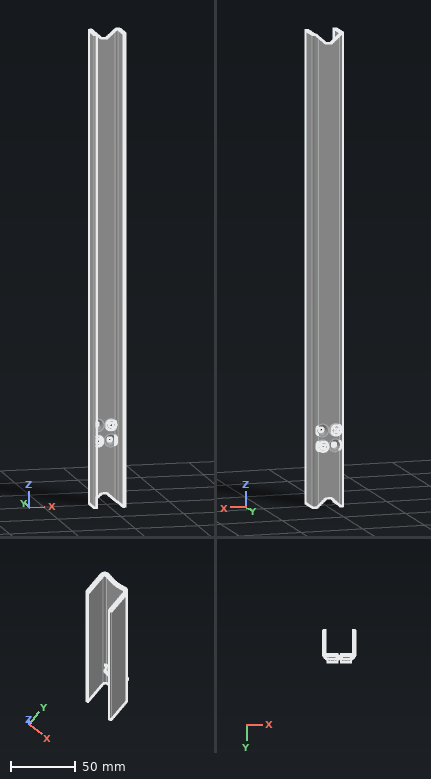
import cadquery as cq

LENGTH = 374.0
WIDTH = 25.0
OVERALL_DEPTH = 25.0
SHEET = 2.0
BEND_INNER_RADIUS = 2.0
LEG_TIP_RADIUS = 1.0

NOTCH_DEPTH = 7.0
NOTCH_MOUTH = 20.2
NOTCH_FLOOR = 4.0

OUTWARD_COLLAR_HEIGHT = 2.8
INWARD_COLLAR_HEIGHT = 1.7
COLLAR_RADIUS = 3.93
COLLAR_ROOT_ROUNDING = 0.95
BORE_RADIUS = 1.7
MOUTH_ROUNDING = 3.5
COLLAR_PITCH_X = 10.5
COLLAR_PITCH_Z = 12.5
COLLAR_GROUP_Z = 55.0

CHANNEL_DEPTH = OVERALL_DEPTH - OUTWARD_COLLAR_HEIGHT
BEND_OUTER_RADIUS = BEND_INNER_RADIUS + SHEET


def make_channel():
    """Bent U-section with rounded outer leg tips; the back of the web lies on Y = 0."""
    outer = (
        cq.Workplane("XY")
        .rect(WIDTH, CHANNEL_DEPTH)
        .extrude(LENGTH)
        .edges("|Z and >Y")
        .fillet(BEND_OUTER_RADIUS)
        .edges("|Z and <Y")
        .fillet(LEG_TIP_RADIUS)
        .translate((0, -CHANNEL_DEPTH / 2, 0))
    )
    inner = (
        cq.Workplane("XY")
        .rect(WIDTH - 2 * SHEET, CHANNEL_DEPTH)
        .extrude(LENGTH)
        .edges("|Z and >Y")
        .fillet(BEND_INNER_RADIUS)
        .translate((0, -CHANNEL_DEPTH / 2 - SHEET, 0))
    )
    return outer.cut(inner)


def make_notch(end_z, inward):
    """Trapezoid through the web; inward is the Z direction into the part."""
    floor_z = end_z + inward * NOTCH_DEPTH
    return (
        cq.Workplane("XZ")
        .moveTo(-NOTCH_MOUTH / 2, end_z)
        .lineTo(-NOTCH_FLOOR / 2, floor_z)
        .lineTo(NOTCH_FLOOR / 2, floor_z)
        .lineTo(NOTCH_MOUTH / 2, end_z)
        .close()
        .extrude(BEND_OUTER_RADIUS)
    )


def add_collar(body, x, z, outward):
    """Draw a collar out of the web, to +Y when outward is True, otherwise to -Y."""
    side = 1 if outward else -1
    height = OUTWARD_COLLAR_HEIGHT if outward else INWARD_COLLAR_HEIGHT
    root_y = 0 if outward else -SHEET
    mouth_y = root_y - side * SHEET
    tip_y = root_y + side * height
    axis_start, axis_end = (0, 0), (0, 1)

    root_radius = COLLAR_RADIUS + COLLAR_ROOT_ROUNDING
    tube = (
        cq.Workplane("XY")
        .moveTo(0, mouth_y)
        .lineTo(root_radius, mouth_y)
        .lineTo(root_radius, root_y)
        .radiusArc((COLLAR_RADIUS, root_y + side * COLLAR_ROOT_ROUNDING), side * COLLAR_ROOT_ROUNDING)
        .lineTo(COLLAR_RADIUS, tip_y)
        .lineTo(0, tip_y)
        .close()
        .revolve(360, axis_start, axis_end)
    )
    bore = (
        cq.Workplane("XY")
        .moveTo(0, mouth_y)
        .lineTo(BORE_RADIUS + MOUTH_ROUNDING, mouth_y)
        .radiusArc((BORE_RADIUS, mouth_y + side * MOUTH_ROUNDING), side * MOUTH_ROUNDING)
        .lineTo(BORE_RADIUS, tip_y)
        .lineTo(0, tip_y)
        .close()
        .revolve(360, axis_start, axis_end)
    )
    position = (x, 0, z)
    return body.union(tube.translate(position)).cut(bore.translate(position))


result = make_channel()
result = result.cut(make_notch(0, 1)).cut(make_notch(LENGTH, -1))

for column in (-1, 1):
    for row in (-1, 1):
        collar_x = column * COLLAR_PITCH_X / 2
        collar_z = COLLAR_GROUP_Z + row * COLLAR_PITCH_Z / 2
        result = add_collar(result, collar_x, collar_z, outward=column != row)